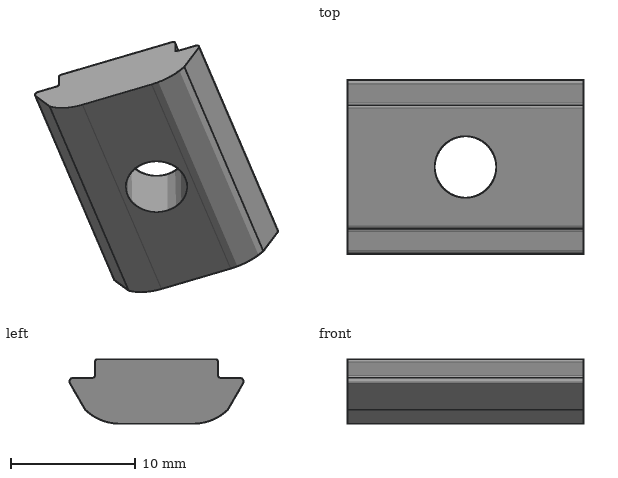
import cadquery as cq
import math

length = 19.0
width = 14.0
height = 5.2

neck_width = 9.9
neck_height = 1.5
neck_fillet = 0.2
wing_fillet = 0.3
flank_angle = math.radians(60)

belly_height = 1.14
belly_radius = 3.99

hole_diameter = 4.92

shoulder_z = height - neck_height
wing_overhang = wing_fillet * (1 / math.tan(flank_angle / 2) - 1)
wing_tip_y = width / 2 + wing_overhang
belly_y = wing_tip_y - (shoulder_z - belly_height) / math.tan(flank_angle)

belly_run = math.sqrt(belly_radius**2 - (belly_radius - belly_height) ** 2)
flat_y = belly_y - belly_run
half_sweep = math.asin(belly_run / belly_radius) / 2
arc_mid_y = flat_y + belly_radius * math.sin(half_sweep)
arc_mid_z = belly_radius * (1 - math.cos(half_sweep))


def make_body():
    """Extrude the symmetric T-shaped cross-section along X."""
    neck_y = neck_width / 2
    return (
        cq.Workplane("YZ")
        .moveTo(-flat_y, 0)
        .lineTo(flat_y, 0)
        .threePointArc((arc_mid_y, arc_mid_z), (belly_y, belly_height))
        .lineTo(wing_tip_y, shoulder_z)
        .lineTo(neck_y, shoulder_z)
        .lineTo(neck_y, height)
        .lineTo(-neck_y, height)
        .lineTo(-neck_y, shoulder_z)
        .lineTo(-wing_tip_y, shoulder_z)
        .lineTo(-belly_y, belly_height)
        .threePointArc((-arc_mid_y, arc_mid_z), (-flat_y, 0))
        .close()
        .extrude(length / 2, both=True)
    )


def round_long_edges(body):
    """Round the wing tips, the neck roots and the top edges of the neck."""
    for side in (-1, 1):
        wing_edge = cq.selectors.NearestToPointSelector((0, side * wing_tip_y, shoulder_z))
        body = body.edges(wing_edge).fillet(wing_fillet)
        for z in (shoulder_z, height):
            neck_edge = cq.selectors.NearestToPointSelector((0, side * neck_width / 2, z))
            body = body.edges(neck_edge).fillet(neck_fillet)
    return body


def make_hole():
    """Vertical through hole at the centre."""
    return cq.Workplane("XY").circle(hole_diameter / 2).extrude(height)


result = round_long_edges(make_body()).cut(make_hole())